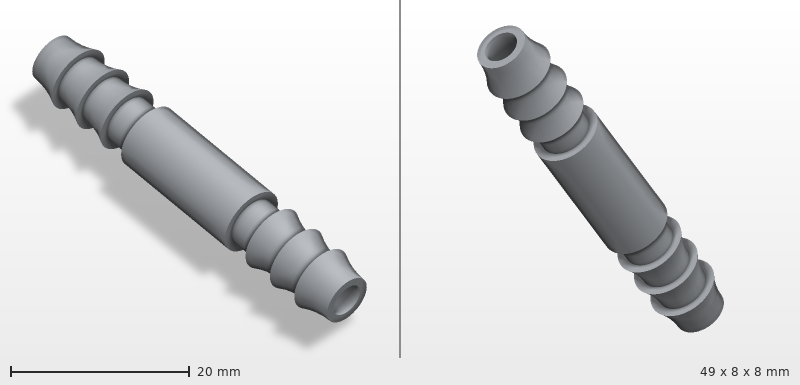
import cadquery as cq
import math

LENGTH = 49.0
BODY_LENGTH = 17.25
BODY_RADIUS = 4.0
STEM_RADIUS = 3.0
BORE_RADIUS = 2.0

BARB_COUNT = 3
BARB_PITCH = 4.05
FIRST_BARB_LENGTH = 4.35
CREST_RADIUS = 4.0


def make_barb(tip_x, crest_x):
    """Solid barb with a concave flare rising from tip_x to a square shoulder at crest_x."""
    length = crest_x - tip_x
    half_length = length / 2
    rise = CREST_RADIUS - STEM_RADIUS
    flare_radius = (length**2 + rise**2) / (2 * rise)
    centre_to_middle = math.sqrt(flare_radius**2 - half_length**2)
    middle = (tip_x + half_length, STEM_RADIUS + flare_radius - centre_to_middle)
    return (
        cq.Workplane("XZ")
        .moveTo(tip_x, 0)
        .lineTo(tip_x, STEM_RADIUS)
        .threePointArc(middle, (crest_x, CREST_RADIUS))
        .lineTo(crest_x, 0)
        .close()
        .revolve(360, (0, 0, 0), (1, 0, 0))
    )


def make_cylinder(length, radius):
    """Cylinder along X, centred on the origin."""
    return cq.Workplane("YZ").circle(radius).extrude(length / 2, both=True)


def make_barbed_end():
    """The row of barbs at the -X end."""
    tip_x = -LENGTH / 2
    crest_x = tip_x + FIRST_BARB_LENGTH
    barbs = make_barb(tip_x, crest_x)
    for _ in range(BARB_COUNT - 1):
        tip_x = crest_x
        crest_x = tip_x + BARB_PITCH
        barbs = barbs.union(make_barb(tip_x, crest_x))
    return barbs


left_end = make_barbed_end()
right_end = left_end.mirror("YZ")

stem_length = LENGTH - 2 * (FIRST_BARB_LENGTH + (BARB_COUNT - 1) * BARB_PITCH)
stem = make_cylinder(stem_length, STEM_RADIUS)
body = make_cylinder(BODY_LENGTH, BODY_RADIUS)
bore = make_cylinder(LENGTH, BORE_RADIUS)

result = stem.union(body).union(left_end).union(right_end).cut(bore)